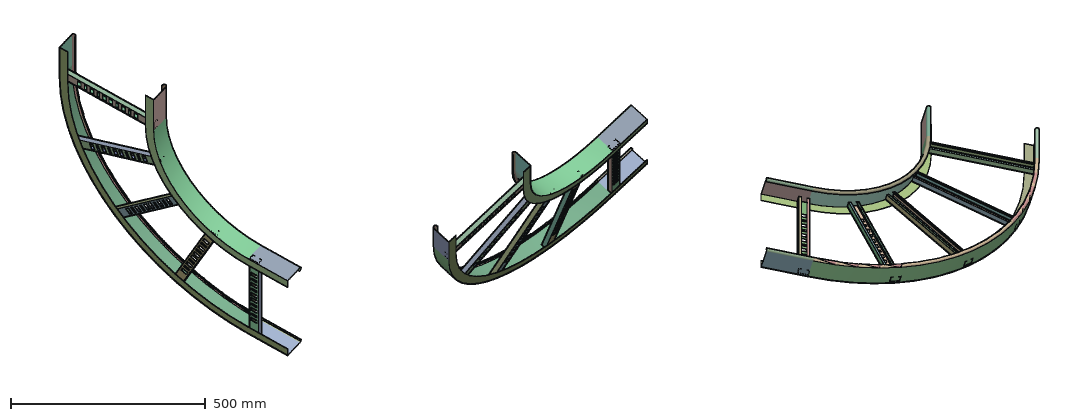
import cadquery as cq


SIZE = 725.0
STRAIGHT = 125.0
OUTER_RADIUS = SIZE - STRAIGHT
INNER_RADIUS = OUTER_RADIUS / 2
SHEET = 1.5

RAIL_DEPTH = 60.0
FLANGE_WIDTH = 27.0
HOOK_RADIUS = 6.15
HOOK_TAIL = 2.0

RUNG_COUNT = 5
RUNG_WIDTH = 30.0
RUNG_DEPTH = 16.0
RUNG_FRONT = 4.0
RUNG_LIP = 7.0
RUNG_GAP = 1.5
RUNG_START = OUTER_RADIUS - SHEET - RUNG_GAP
RUNG_END = INNER_RADIUS + SHEET + RUNG_GAP

WIDE_SLOT = 11.0
NARROW_SLOT = 6.5
HALF_ROW = [WIDE_SLOT, NARROW_SLOT, WIDE_SLOT, NARROW_SLOT, WIDE_SLOT]
SLOT_WIDTHS = HALF_ROW + HALF_ROW[::-1]
SLOT_PITCH = 20.0
SLOT_HEIGHT = 18.0


def make_rail(radius, side):
    """Rail with its web on the given radius; side is +1 if the flange points to the bend axis, else -1."""

    def at(offset, y):
        return (side * offset - radius, y)

    hook_y = RAIL_DEPTH - HOOK_RADIUS
    tail_y = hook_y - HOOK_TAIL
    hook_width = 2 * HOOK_RADIUS
    section = (
        cq.Workplane("XY", origin=(0, 0, STRAIGHT))
        .moveTo(*at(FLANGE_WIDTH, 0))
        .lineTo(*at(0, 0))
        .lineTo(*at(0, hook_y))
        .threePointArc(at(HOOK_RADIUS, RAIL_DEPTH), at(hook_width, hook_y))
        .lineTo(*at(hook_width, tail_y))
        .lineTo(*at(hook_width - SHEET, tail_y))
        .lineTo(*at(hook_width - SHEET, hook_y))
        .threePointArc(at(HOOK_RADIUS, RAIL_DEPTH - SHEET), at(SHEET, hook_y))
        .lineTo(*at(SHEET, SHEET))
        .lineTo(*at(FLANGE_WIDTH, SHEET))
        .close()
    )
    path = (
        cq.Workplane("XZ")
        .moveTo(-radius, STRAIGHT)
        .lineTo(-radius, 0)
        .radiusArc((0, -radius), -radius)
        .lineTo(STRAIGHT, -radius)
    )
    return section.sweep(path)


def rung_profile():
    """Lipped channel, open at the back, running from the outer rail to the inner rail."""
    length = RUNG_START - RUNG_END
    middle_y = RUNG_FRONT + RUNG_DEPTH / 2

    def bar(centre_y, depth, width):
        return (
            cq.Workplane("YZ", origin=(-RUNG_START, centre_y, 0))
            .rect(depth, width)
            .extrude(length)
        )

    tube = bar(middle_y, RUNG_DEPTH, RUNG_WIDTH)
    core = bar(middle_y, RUNG_DEPTH - 2 * SHEET, RUNG_WIDTH - 2 * SHEET)
    mouth = bar(RUNG_FRONT + RUNG_DEPTH, 2 * SHEET, RUNG_WIDTH - 2 * RUNG_LIP)
    return tube.cut(core).cut(mouth)


def rung_slots():
    """Row of rectangular cutters for the rung face, centred between the two webs."""
    first_x = -(OUTER_RADIUS + INNER_RADIUS) / 2 - SLOT_PITCH * (len(SLOT_WIDTHS) - 1) / 2
    slots = cq.Workplane("XY")
    for index, width in enumerate(SLOT_WIDTHS):
        slot = cq.Workplane("XY").box(width, 2 * SHEET, SLOT_HEIGHT)
        slots = slots.add(slot.translate((first_x + index * SLOT_PITCH, RUNG_FRONT, 0)))
    return slots.combine()


def make_rung(index):
    """Rung turned to its place; the first and last sit on the straight runs, beside the bend."""
    rung = rung_profile().cut(rung_slots())
    turn = -90 * index / (RUNG_COUNT - 1)
    rung = rung.rotate((0, 0, 0), (0, 1, 0), turn)
    if index == 0:
        rung = rung.translate((0, 0, RUNG_WIDTH / 2))
    if index == RUNG_COUNT - 1:
        rung = rung.translate((RUNG_WIDTH / 2, 0, 0))
    return rung


outer_rail = make_rail(OUTER_RADIUS, 1)
inner_rail = make_rail(INNER_RADIUS, -1)
rungs = cq.Workplane("XY")
for rung_index in range(RUNG_COUNT):
    rungs = rungs.add(make_rung(rung_index).solids())

result = cq.Compound.makeCompound([outer_rail.val(), inner_rail.val(), *rungs.vals()])